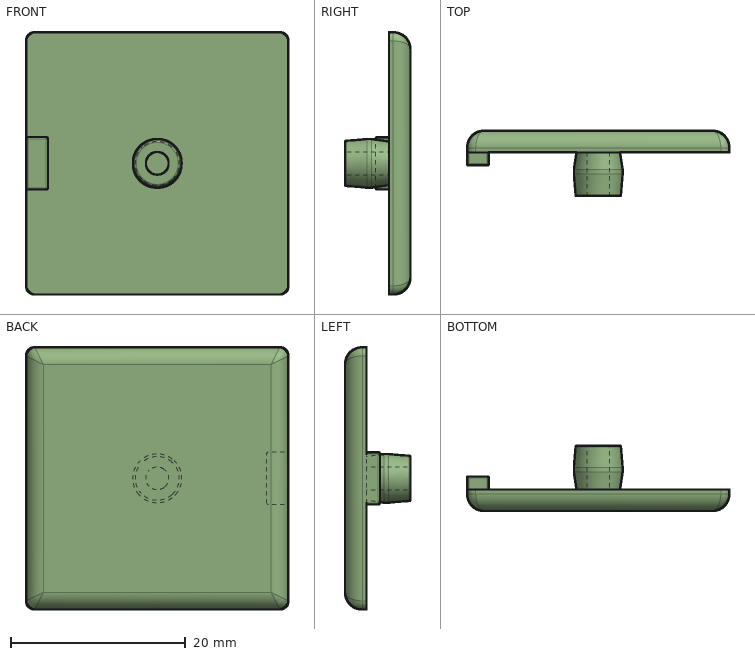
import cadquery as cq

side = 30.0
plate_thickness = 2.5
rim_height = 0.5
face_radius = plate_thickness - rim_height
corner_radius = face_radius / 2

stud_length = 7.5 - plate_thickness
root_diameter = 5.0
belly_diameter = 5.6
tip_diameter = 5.2
belly_start = 1.98
belly_end = 2.5
tip_round = 0.2
bore_diameter = 2.6
bore_depth = stud_length

tab_width = 2.5
tab_height = 1.5
tab_length = 6.0
tab_round = 0.2


def make_plate():
    """Square plate with a rounded outer face and rounded corners."""
    plate = cq.Workplane("XY").box(side, plate_thickness, side, centered=(True, False, True))
    plate = plate.faces(">Y").edges().fillet(face_radius)
    return plate.edges("|Y").fillet(corner_radius)


def make_stud():
    """Stud widening from its root to a short cylindrical belly, then tapering to its tip."""
    profile = [
        (0, 0),
        (root_diameter / 2, 0),
        (belly_diameter / 2, -belly_start),
        (belly_diameter / 2, -belly_end),
        (tip_diameter / 2, -stud_length),
        (0, -stud_length),
    ]
    stud = cq.Workplane("XY").polyline(profile).close().revolve(360, (0, 0), (0, 1))
    stud = stud.faces("<Y").edges().fillet(tip_round)
    bore = cq.Workplane("XZ").workplane(offset=stud_length - bore_depth).circle(bore_diameter / 2)
    return stud.cut(bore.extrude(bore_depth))


def make_tab():
    """Rectangular tab with rounded sides and a rounded free end."""
    tab = cq.Workplane("XZ").center((tab_width - side) / 2, 0).rect(tab_width, tab_length)
    tab = tab.extrude(tab_height)
    return tab.edges("|Y or <Y").fillet(tab_round)


result = make_plate().union(make_stud()).union(make_tab())